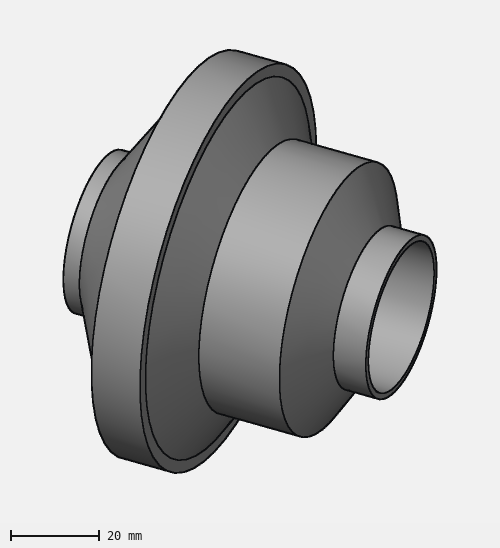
import cadquery as cq

flange_diameter = 95.5
flange_cone_diameter = 89.5
body_diameter = 64.3
neck_diameter = 38.4
bore_diameter = 35.5

front_neck_length = 4.0
front_cone_length = 16.0
flange_thickness = 12.0
rear_cone_length = 7.45
body_length = 20.0
rear_neck_length = 8.0

sections = [
    (front_neck_length, neck_diameter, neck_diameter),
    (front_cone_length, neck_diameter, flange_cone_diameter),
    (flange_thickness, flange_diameter, flange_diameter),
    (rear_cone_length, flange_cone_diameter, body_diameter),
    (body_length, body_diameter, body_diameter),
    (rear_cone_length, body_diameter, neck_diameter),
    (rear_neck_length, neck_diameter, neck_diameter),
]
total_length = sum(length for length, _, _ in sections)


def revolved_body():
    """Revolve the stepped outer half profile about the X axis."""
    profile = cq.Workplane("XY").moveTo(0, 0)
    x = 0
    previous_diameter = 0
    for length, start_diameter, end_diameter in sections:
        if start_diameter != previous_diameter:
            profile = profile.lineTo(x, start_diameter / 2)
        x += length
        profile = profile.lineTo(x, end_diameter / 2)
        previous_diameter = end_diameter
    profile = profile.lineTo(total_length, 0).close()
    return profile.revolve(360, (0, 0, 0), (1, 0, 0))


def through_bore():
    """Straight cylinder running the full length of the part."""
    return cq.Workplane("YZ").circle(bore_diameter / 2).extrude(total_length)


result = revolved_body().cut(through_bore())